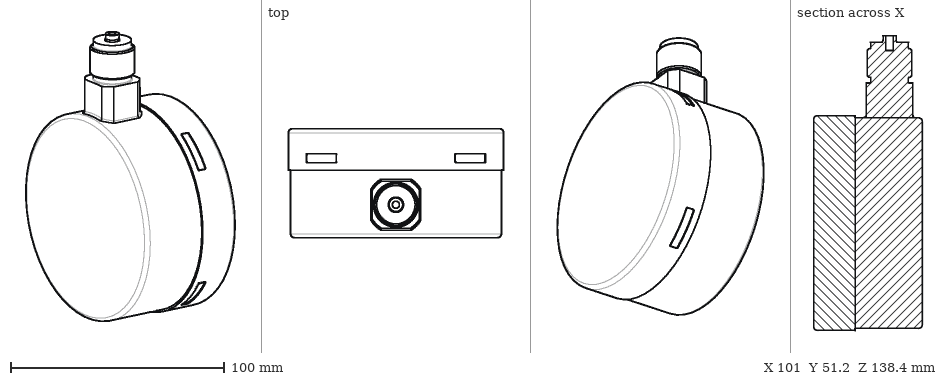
import cadquery as cq


bezel_radius = 50.5
case_radius = 49.5
total_depth = 51.2
total_height = 138.4
bezel_depth = 19.5
case_depth = total_depth - bezel_depth
rim_fillet = 2.0

insert_angles = (45, 135, 225, 315)
insert_length = 20.0
insert_width = 4.2
insert_corner_radius = 0.5
insert_recess = 0.5
slot_depth = 4.2
insert_setback = 5.7
insert_y = case_depth + insert_setback
insert_top_radius = bezel_radius - insert_recess
slot_floor = bezel_radius - slot_depth

stem_y = 15.5
shank_across_flats = 22.0
shank_corner_radius = 13.0
foot_fillet = 1.0
foot_zone_depth = 2.8
foot_zone_margin = 0.1
neck_radius = 9.0
root_fillet = 0.4
neck_height = 2.6
thread_radius = 10.5
thread_height = 13.4
thread_chamfer = 0.7
collar_radius = 9.0
collar_height = 3.0
tip_radius = 3.2
tip_base_radius = 3.6
tip_base_height = 0.8
tip_height = 3.0
bore_radius = 1.7
bore_depth = 6.9

stem_top = total_height - bezel_radius
collar_top = stem_top - tip_height
thread_top = collar_top - collar_height
thread_bottom = thread_top - thread_height
shank_top = thread_bottom - neck_height


def disc(radius, y_start, depth):
    """Cylinder about the Y axis, growing toward +Y."""
    return cq.Workplane("XZ", origin=(0, y_start, 0)).circle(radius).extrude(-depth)


def stem_cylinder(radius, z_start, height):
    """Cylinder about the stem axis, growing toward +Z."""
    return cq.Workplane("XY", origin=(0, stem_y, z_start)).circle(radius).extrude(height)


def make_case():
    return disc(case_radius, 0, case_depth).faces("<Y").edges().fillet(rim_fillet)


def slot_block(angle):
    """Rounded block that fills one slot and reaches past the bezel's outer surface."""
    block = (
        cq.Workplane("XY", origin=(0, insert_y, slot_floor))
        .rect(insert_length, insert_width)
        .extrude(2 * slot_depth)
        .edges("|Z")
        .fillet(insert_corner_radius)
    )
    return block.rotate((0, 0, 0), (0, 1, 0), angle)


def make_bezel():
    bezel = disc(bezel_radius, case_depth, bezel_depth).faces(">Y").edges().fillet(rim_fillet)
    for angle in insert_angles:
        bezel = bezel.cut(slot_block(angle))
    return bezel


def make_insert(angle):
    """Slot filling whose curved top lies just below the bezel's outer surface."""
    return slot_block(angle).intersect(disc(insert_top_radius, case_depth, bezel_depth))


def make_shank():
    """Square shank with rounded corners and a filleted foot that saddles the case."""
    square = (
        cq.Workplane("XY", origin=(0, stem_y, 0))
        .rect(shank_across_flats, shank_across_flats)
        .extrude(shank_top)
    )
    shank = square.intersect(stem_cylinder(shank_corner_radius, 0, shank_top))
    case_body = disc(case_radius, 0, case_depth)
    foot_zone = cq.selectors.BoxSelector(
        (-shank_corner_radius, stem_y - shank_corner_radius, case_radius - foot_zone_depth),
        (shank_corner_radius, stem_y + shank_corner_radius, case_radius + foot_zone_margin),
    )
    filleted = case_body.union(shank).edges(foot_zone).fillet(foot_fillet)
    return filleted.cut(case_body)


def make_turned_end():
    """Neck, thread, collar and tip as one turned profile of radius against height."""
    profile = (
        cq.Workplane("XZ", origin=(0, stem_y, 0))
        .moveTo(0, shank_top)
        .lineTo(neck_radius + root_fillet, shank_top)
        .radiusArc((neck_radius, shank_top + root_fillet), root_fillet)
        .lineTo(neck_radius, thread_bottom - root_fillet)
        .radiusArc((neck_radius + root_fillet, thread_bottom), root_fillet)
        .lineTo(thread_radius - thread_chamfer, thread_bottom)
        .lineTo(thread_radius, thread_bottom + thread_chamfer)
        .lineTo(thread_radius, thread_top - thread_chamfer)
        .lineTo(thread_radius - thread_chamfer, thread_top)
        .lineTo(collar_radius + root_fillet, thread_top)
        .radiusArc((collar_radius, thread_top + root_fillet), root_fillet)
        .lineTo(collar_radius, collar_top)
        .lineTo(tip_base_radius, collar_top)
        .lineTo(tip_radius, collar_top + tip_base_height)
        .lineTo(tip_radius, stem_top)
        .lineTo(0, stem_top)
        .close()
    )
    return profile.revolve(360, (0, 0, 0), (0, 1, 0))


def make_stem():
    bore = stem_cylinder(bore_radius, stem_top - bore_depth, bore_depth)
    return make_shank().union(make_turned_end()).cut(bore)


case = make_case()
bezel = make_bezel()
stem = make_stem()
inserts = [make_insert(angle) for angle in insert_angles]

result = cq.Compound.makeCompound(
    [body.solids().val() for body in (case, bezel, stem, *inserts)]
)